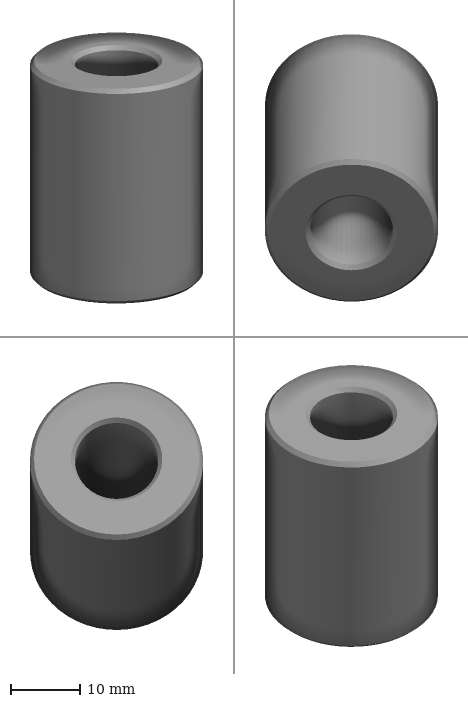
import cadquery as cq

length = 33.0
outer_diameter = 25.0
bore_diameter = 12.0
edge_chamfer = 0.6

sleeve = (
    cq.Workplane("XY")
    .circle(outer_diameter / 2)
    .circle(bore_diameter / 2)
    .extrude(length)
)

result = sleeve.faces("<Z or >Z").edges().chamfer(edge_chamfer)